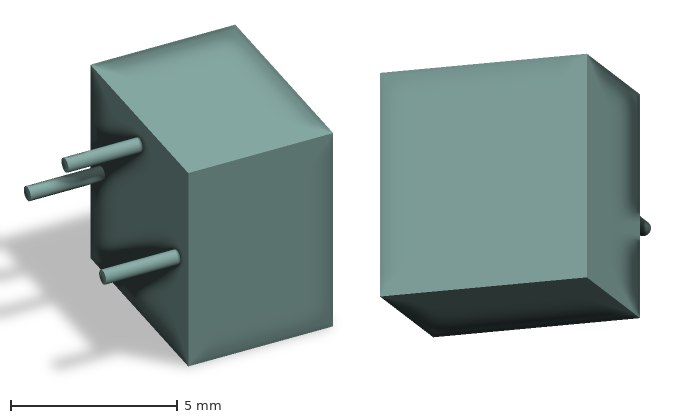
import cadquery as cq

body_width = 6.6
body_height = 6.99
overall_depth = 7.38
pin_length = 2.5
body_depth = overall_depth - pin_length

pin_diameter = 0.47
pin_pitch = 2.54
pin_rise = 0.02
pin_positions = [(-pin_pitch, pin_rise), (pin_pitch, pin_rise), (0, pin_rise + pin_pitch)]

body = cq.Workplane("XY").box(
    body_width, body_depth, body_height, centered=(True, False, True)
)

pins = (
    cq.Workplane("XZ")
    .pushPoints(pin_positions)
    .circle(pin_diameter / 2)
    .extrude(pin_length)
)

result = body.union(pins)